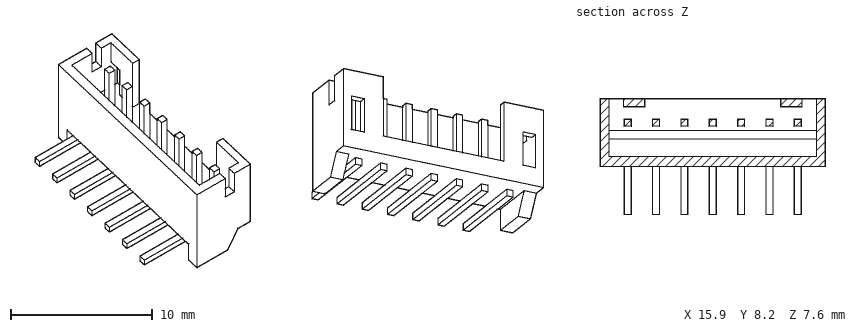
import cadquery as cq


width = 15.9
depth = 4.8
height = 7.6
underside = 1.62
leg_width = 0.99
foot_setback = 2.04
leg_top_setback = 1.11

side_wall = 0.64
front_wall = 0.72
rear_wall = 0.59
floor_thickness = 1.4
floor_z = underside + floor_thickness
cavity_width = width - 2 * side_wall

ramp_start = 2.25
ramp_drop = 0.59
trough_z = floor_z - ramp_drop

rear_opening_width = 9.6
slot_setback = 1.45
slot_depth = 1.92
window_width = 1.0
window_top_depth = 2.0

pin_count = 7
pin_pitch = 2.0
pin_size = 0.51
pin_overhang = 3.4
pin_recess = 0.95
pin_top = height - pin_recess


def box(x_range, y_range, z_range):
    """Axis-aligned block given by its limits along X, Y and Z."""
    corner = (x_range[0], y_range[0], z_range[0])
    sizes = [high - low for low, high in (x_range, y_range, z_range)]
    return cq.Workplane("XY").box(*sizes, centered=False).translate(corner)


def extruded_across(points, across):
    """Prism with a (Y, Z) profile, centred on X."""
    return cq.Workplane("YZ").polyline(points).close().extrude(across / 2, both=True)


def centred(span):
    """Limits of a span centred on X = 0."""
    return (-span / 2, span / 2)


def make_housing():
    """Solid end profile with sloped legs, relieved underneath between the legs."""
    profile = [
        (0, height),
        (-depth, height),
        (-depth, 0),
        (-foot_setback, 0),
        (-leg_top_setback, underside),
        (0, underside),
    ]
    relief = box(centred(width - 2 * leg_width), (-depth, 0), (0, underside))
    return extruded_across(profile, width).cut(relief)


def make_cavity():
    """Space for the mating plug, with the ramp and trough in its floor."""
    profile = [
        (-rear_wall, floor_z),
        (-ramp_start, floor_z),
        (-ramp_start - ramp_drop, trough_z),
        (-depth + front_wall, trough_z),
        (-depth + front_wall, height),
        (-rear_wall, height),
    ]
    return extruded_across(profile, cavity_width)


def make_openings():
    """Rear opening, end-wall slots and rear corner windows."""
    rear_y = (-rear_wall, 0)
    slot_y = (-ramp_start, -slot_setback)
    opening = box(centred(rear_opening_width), rear_y, (floor_z, height))
    slots = box(centred(width), slot_y, (height - slot_depth, height))
    window_z = (floor_z, height - window_top_depth)
    window = box((cavity_width / 2 - window_width, cavity_width / 2), rear_y, window_z)
    return opening.union(slots).union(window).union(window.mirror("YZ"))


def make_pin(x):
    """Square L-shaped pin: upright through the floor, then forward under the housing."""
    pin_x = (x - pin_size / 2, x + pin_size / 2)
    bend_bottom = underside - pin_size
    upright = box(pin_x, (-slot_setback - pin_size, -slot_setback), (bend_bottom, pin_top))
    tail = box(pin_x, (-depth - pin_overhang, -slot_setback), (bend_bottom, underside))
    return upright.union(tail)


result = make_housing().cut(make_cavity()).cut(make_openings())
for index in range(pin_count):
    result = result.union(make_pin((index - (pin_count - 1) / 2) * pin_pitch))